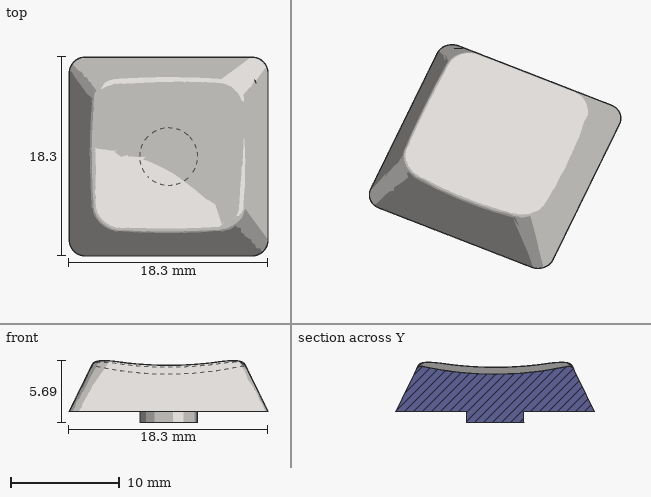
import cadquery as cq

base_side = 18.3
base_corner_radius = 1.5
taper_height = 5.49
taper_inset = 2.69
taper_corner_radius = 2.45

dish_radius = 31.11
dish_bottom_z = 3.44
dish_offset_y = 0.45
rim_fillet = 0.5

stem_diameter = 5.3
stem_length = 1.0


def rounded_square(side, corner_radius):
    return cq.Sketch().rect(side, side).vertices().fillet(corner_radius)


def make_skirt():
    top_side = base_side - 2 * taper_inset
    top_outline = rounded_square(top_side, taper_corner_radius)
    return (
        cq.Workplane("XY")
        .placeSketch(
            rounded_square(base_side, base_corner_radius),
            top_outline.moved(cq.Location(cq.Vector(0, 0, taper_height))),
        )
        .loft(ruled=True)
    )


def make_dish_cutter():
    center_z = dish_bottom_z + dish_radius
    sphere = cq.Workplane("XY").sphere(dish_radius)
    sphere = sphere.rotate((0, 0, 0), (0, 0, 1), 180)
    return sphere.translate((0, dish_offset_y, center_z))


def make_stem():
    return cq.Workplane("XY").circle(stem_diameter / 2).extrude(-stem_length)


cap = make_skirt().cut(make_dish_cutter())
cap = cap.faces(">Z").edges().fillet(rim_fillet)
result = cap.union(make_stem())